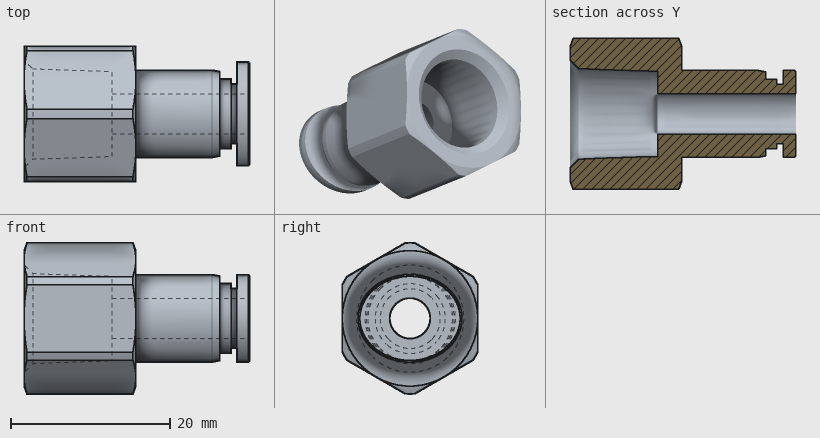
import cadquery as cq
import math


hex_length = 14.03
hex_across_flats = 17.0
hex_across_corners = 19.0
hex_end_chamfer = 0.37

body_diameter = 11.0
body_taper_start = 23.6
body_end = 24.58
body_end_diameter = 10.6
step_diameter = 8.8
step_end = 26.0
neck_diameter = 7.5

collar_start = 26.7
collar_width = 13.05
collar_height = body_diameter
collar_chamfer = 0.23
overall_length = 28.35

mouth_diameter = 13.47
socket_diameter = 11.35
mouth_depth = (mouth_diameter - socket_diameter) / 2
socket_floor_diameter = 10.65
socket_depth = 11.0
through_diameter = 5.05


def revolve_profile(points):
    """Revolve (x, radius) points about the X axis."""
    return cq.Workplane("XY").polyline(points).close().revolve(360, (0, 0, 0), (1, 0, 0))


def make_hex():
    """Hexagonal prism with corners on +Z and -Z, turned round and chamfered at both ends."""
    sharp_corner_diameter = hex_across_flats / math.cos(math.radians(30))
    prism = (
        cq.Workplane("YZ")
        .polygon(6, sharp_corner_diameter)
        .extrude(hex_length)
        .rotate((0, 0, 0), (1, 0, 0), 90)
    )
    corner_radius = hex_across_corners / 2
    end_radius = hex_across_flats / 2
    turned_envelope = revolve_profile([
        (0, 0),
        (0, end_radius),
        (hex_end_chamfer, corner_radius),
        (hex_length - hex_end_chamfer, corner_radius),
        (hex_length, end_radius),
        (hex_length, 0),
    ])
    return prism.intersect(turned_envelope)


def make_body():
    """Round body behind the hex, stepping down to the neck under the collar."""
    return revolve_profile([
        (socket_depth, 0),
        (socket_depth, body_diameter / 2),
        (body_taper_start, body_diameter / 2),
        (body_end, body_end_diameter / 2),
        (body_end, step_diameter / 2),
        (step_end, step_diameter / 2),
        (step_end, neck_diameter / 2),
        (collar_start, neck_diameter / 2),
        (collar_start, 0),
    ])


def make_collar():
    """Elliptical collar, wider in Y than in Z, with a chamfered outer rim."""
    return (
        cq.Workplane("YZ", origin=(collar_start, 0, 0))
        .ellipse(collar_width / 2, collar_height / 2)
        .extrude(overall_length - collar_start)
        .faces(">X")
        .chamfer(collar_chamfer)
    )


def make_bore():
    """Countersunk, slightly tapered socket with a plain hole through the rest."""
    return revolve_profile([
        (0, 0),
        (0, mouth_diameter / 2),
        (mouth_depth, socket_diameter / 2),
        (socket_depth, socket_floor_diameter / 2),
        (socket_depth, through_diameter / 2),
        (overall_length, through_diameter / 2),
        (overall_length, 0),
    ])


result = make_hex().union(make_body()).union(make_collar()).cut(make_bore())